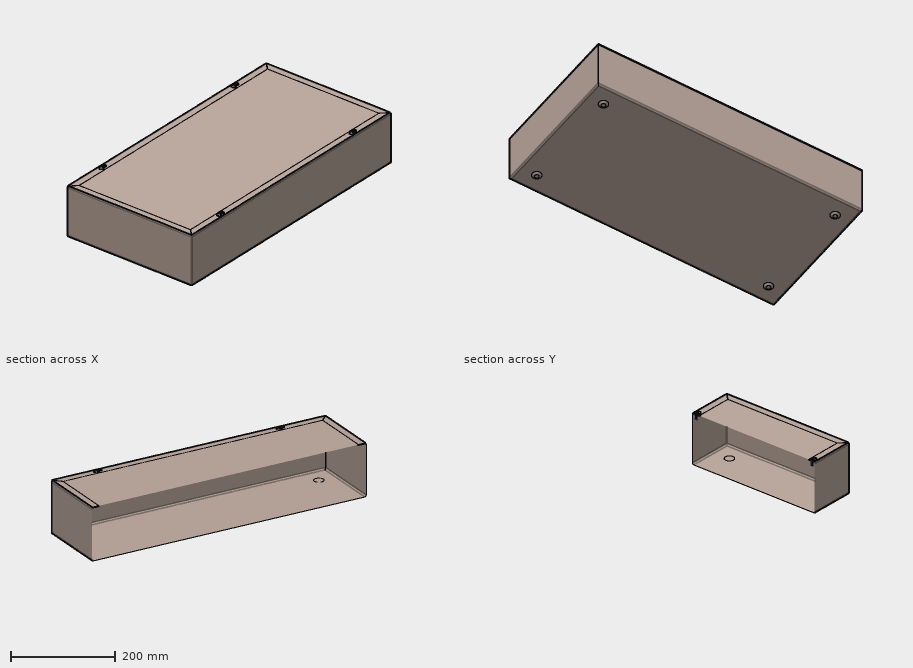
import cadquery as cq

WIDTH = 308.0
LENGTH = 613.0
HEIGHT = 119.0
SHEET = 1.5

FOOT_HEIGHT = 3.0
HEAD_ABOVE_LID = 2.0
LID_TOP = HEIGHT - HEAD_ABOVE_LID
HOUSING_TOP = LID_TOP - SHEET
HOUSING_HEIGHT = HOUSING_TOP - FOOT_HEIGHT
TOP_BEND_RADIUS = 2 * SHEET
FLOOR_BEND_RADIUS = 4.0
CORNER_BEND_RADIUS = 2.5
FLANGE_WIDTH = 17.0
MITRE_GAP = 0.5

FOOT_SPACING_X = 230.0
FOOT_SPACING_Y = 535.5
FOOT_BASE_DIAMETER = 20.0
FOOT_TIP_DIAMETER = 9.0

LID_INSET = 2.0
KEYHOLE_DIAMETER = 10.5
KEYHOLE_SLOT_WIDTH = 5.8
KEYHOLE_TRAVEL = 7.5

SCREW_INSET = 9.0
SCREW_SPACING_X = WIDTH - 2 * SCREW_INSET
SCREW_SPACING_Y = 406.0
HEAD_DIAMETER = 10.0
HEAD_FLAT_DIAMETER = 7.5
HEAD_FILLET = (HEAD_DIAMETER - HEAD_FLAT_DIAMETER) / 2
SOCKET_DIAMETER = 3.75
SOCKET_DEPTH = 1.0
SHANK_DIAMETER = 4.15
SHANK_LENGTH = 12.0


def corner_points(spacing_x, spacing_y):
    """The four corners of a rectangle centred on the Z axis."""
    return [(x * spacing_x / 2, y * spacing_y / 2) for x in (-1, 1) for y in (-1, 1)]


foot_points = corner_points(FOOT_SPACING_X, FOOT_SPACING_Y)
screw_points = corner_points(SCREW_SPACING_X, SCREW_SPACING_Y)


def bent_block(shrink):
    """The housing block with its bends, moved inward by the given distance on every face."""
    bottom = FOOT_HEIGHT + shrink
    height = HOUSING_HEIGHT - 2 * shrink
    return (
        cq.Workplane("XY", origin=(0, 0, bottom))
        .box(WIDTH - 2 * shrink, LENGTH - 2 * shrink, height, centered=(True, True, False))
        .faces("<Y")
        .edges("|Z")
        .fillet(CORNER_BEND_RADIUS - shrink)
        .faces("<Z")
        .edges()
        .fillet(FLOOR_BEND_RADIUS - shrink)
        .faces(">Z")
        .edges()
        .fillet(TOP_BEND_RADIUS - shrink)
    )


def make_mitre_slits():
    """Narrow diagonal slits that part the flanges at the four corners."""
    slits = cq.Workplane("XY", origin=(0, 0, HOUSING_TOP - SHEET))
    half_gap = MITRE_GAP / 2
    for x in (-1, 1):
        for y in (-1, 1):
            outer = (x * (WIDTH / 2 - TOP_BEND_RADIUS), y * (LENGTH / 2 - TOP_BEND_RADIUS))
            inner = (x * (WIDTH / 2 - FLANGE_WIDTH), y * (LENGTH / 2 - FLANGE_WIDTH))
            slits = slits.polyline([
                (outer[0] - x * half_gap, outer[1] + y * half_gap),
                (outer[0] + x * half_gap, outer[1] - y * half_gap),
                (inner[0] + x * half_gap, inner[1] - y * half_gap),
                (inner[0] - x * half_gap, inner[1] + y * half_gap),
            ]).close()
    return slits.extrude(SHEET)


def make_foot(x, y):
    """A cone that stands out below the floor around a mounting point."""
    return (
        cq.Workplane("XY", origin=(x, y, 0))
        .circle(FOOT_TIP_DIAMETER / 2)
        .workplane(offset=FOOT_HEIGHT)
        .circle(FOOT_BASE_DIAMETER / 2)
        .loft(ruled=True)
    )


def make_housing():
    """A sheet-metal tray with rounded bends, a flange around the opening and four feet."""
    shell = bent_block(0)
    cavity = bent_block(SHEET)
    opening = (
        cq.Workplane("XY", origin=(0, 0, HOUSING_TOP))
        .rect(WIDTH - 2 * FLANGE_WIDTH, LENGTH - 2 * FLANGE_WIDTH)
        .extrude(-2 * SHEET)
    )
    screw_holes = (
        cq.Workplane("XY", origin=(0, 0, HOUSING_TOP))
        .pushPoints(screw_points)
        .circle(SHANK_DIAMETER / 2)
        .extrude(-2 * SHEET)
    )
    housing = shell.cut(cavity).cut(opening).cut(screw_holes).cut(make_mitre_slits())
    for x, y in foot_points:
        housing = housing.union(make_foot(x, y))
    return housing


def make_lid():
    """A flat plate with keyholes whose wide ends lie on the -Y side of the screws."""
    plate = (
        cq.Workplane("XY", origin=(0, 0, HOUSING_TOP))
        .rect(WIDTH - 2 * LID_INSET, LENGTH - 2 * LID_INSET)
        .extrude(SHEET)
    )
    wide_ends = (
        cq.Workplane("XY", origin=(0, -KEYHOLE_TRAVEL, HOUSING_TOP))
        .pushPoints(screw_points)
        .circle(KEYHOLE_DIAMETER / 2)
        .extrude(SHEET)
    )
    narrow_slots = (
        cq.Workplane("XY", origin=(0, -KEYHOLE_TRAVEL / 2, HOUSING_TOP))
        .pushPoints(screw_points)
        .slot2D(KEYHOLE_TRAVEL + KEYHOLE_SLOT_WIDTH, KEYHOLE_SLOT_WIDTH, angle=90)
        .extrude(SHEET)
    )
    return plate.cut(wide_ends).cut(narrow_slots)


def make_screw(x, y):
    """A round-headed socket screw that clamps the lid against the housing flange."""
    head = (
        cq.Workplane("XY", origin=(x, y, LID_TOP))
        .circle(HEAD_DIAMETER / 2)
        .extrude(HEAD_ABOVE_LID)
        .faces(">Z")
        .edges()
        .fillet(HEAD_FILLET)
    )
    socket = (
        cq.Workplane("XY", origin=(x, y, HEIGHT))
        .circle(SOCKET_DIAMETER / 2)
        .extrude(-SOCKET_DEPTH)
    )
    shank = (
        cq.Workplane("XY", origin=(x, y, LID_TOP))
        .circle(SHANK_DIAMETER / 2)
        .extrude(-SHANK_LENGTH)
    )
    return head.cut(socket).union(shank)


housing = make_housing()
lid = make_lid()
screws = [make_screw(x, y).val() for x, y in screw_points]

result = cq.Compound.makeCompound([housing.val(), lid.val(), *screws])